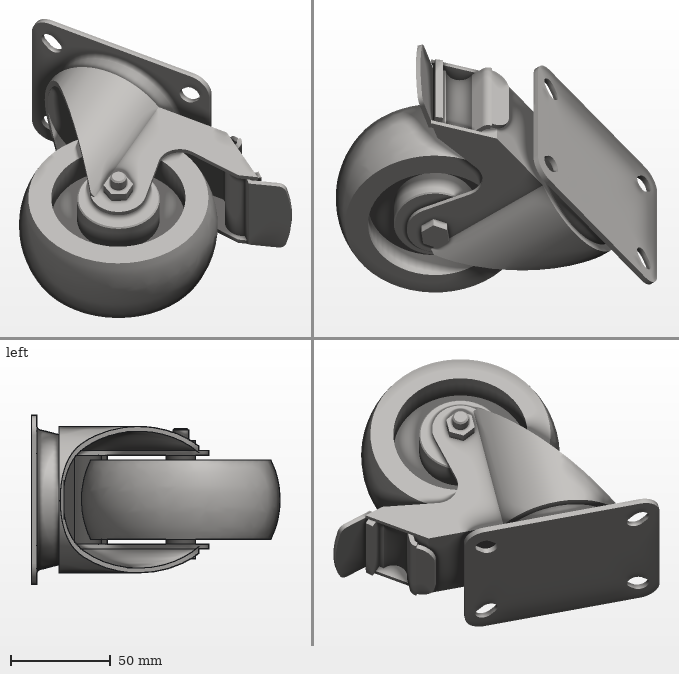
import cadquery as cq
import math


overall_length = 161.0

plate_length = 100.0
plate_width = 85.0
plate_thickness = 2.7
plate_corner_radius = 10.0
slot_spacing_x = 78.0
slot_spacing_z = 57.6
slot_diameter = 9.0
slot_travel = 3.4
slot_angle = 45

head_top_radius = 35.0
head_bottom_radius = 32.8
head_fillet_radius = 2.4
head_bottom_depth = 13.2

fork_top = 13.8
sheet = 2.4
fork_diameter = 73.5
leg_gap = 44.6
leg_end_radius = 14.2
shoulder_x = 65.7
tip_top = (93.7, -34.3)
tip_bottom = (84.2, -37.5)
notch_radius = 11.0
notch_center = (55.0, -44.6)
notch_mid_angle = 140
cup_start_depth = 14.5
cup_bend = (-22.9, -26.2)

axle_x = 35.9
axle_y = -75.0
wheel_radius = 49.9
wheel_width = 40.0
wheel_side_radius = 45.2
recess_diameter = 67.5
recess_depth = 15.5
hub_diameter = 41.5
hub_chamfer = 0.6
spacer_diameter = 15.0

nut_corners = 15.0
nut_height = 5.0
bolt_diameter = 8.0
bolt_end = 35.7
bolt_chamfer = 0.8

flap_angle = 153
flap_length = 9.5
flap_half_width = 20.6
flap_corner_radius = 9.3
flap_bend_radius = 2.1
lever_wall_x = 72.5
lever_wall_top = -16.1
lever_arc_center = (81.3, -25.6)
lever_arc_radius = 9.5
lever_arc_end = -60
pedal_corner = (90.6, -38.2)
pedal_angle = 19.5
pedal_bulge = 3.7
pedal_corner_radius = 4.5
tab_top = (92.7, -30.0)
tab_angle = -43
tab_width = 4.0
tab_height = 6.8

axle = (axle_x, axle_y)
fork_radius = fork_diameter / 2
leg_inner = leg_gap / 2
leg_outer = leg_inner + sheet
pedal_reach = overall_length - plate_length / 2 - pedal_corner[0]
pedal_length = pedal_reach / math.cos(math.radians(pedal_angle))


def circle_tangent(point, center, radius, side):
    """Point where the line from `point` touches a circle, on the left (1) or right (-1)."""
    dx = point[0] - center[0]
    dy = point[1] - center[1]
    angle = math.atan2(dy, dx) - side * math.acos(radius / math.hypot(dx, dy))
    return polar(center, radius, angle)


def polar(center, radius, angle):
    """Point at `radius` from `center` in the direction `angle`, in radians."""
    return (center[0] + radius * math.cos(angle), center[1] + radius * math.sin(angle))


def cylinder_z(diameter, half_length):
    """Cylinder on the wheel axle, centred on Z = 0."""
    return cq.Workplane("XY").center(*axle).circle(diameter / 2).extrude(half_length, both=True)


def middle_slab(half_width):
    """Slab around Z = 0 that is wider than the whole part in X and Y."""
    return cq.Workplane("XY").box(2 * overall_length, 2 * overall_length, 2 * half_width)


def mounting_plate():
    plate = cq.Workplane("XZ").rect(plate_length, plate_width).extrude(plate_thickness)
    plate = plate.edges("|Y").fillet(plate_corner_radius)
    for side_x in (-1, 1):
        for side_z in (-1, 1):
            slot = (
                cq.Workplane("XZ")
                .center(side_x * slot_spacing_x / 2, side_z * slot_spacing_z / 2)
                .transformed(rotate=(0, 0, slot_angle * side_x * side_z))
                .slot2D(slot_diameter + slot_travel, slot_diameter)
                .extrude(plate_thickness)
            )
            plate = plate.cut(slot)
    return plate


def swivel_head():
    fillet_center = (head_top_radius + head_fillet_radius, -plate_thickness - head_fillet_radius)
    return (
        cq.Workplane("XY")
        .moveTo(0, -plate_thickness)
        .lineTo(fillet_center[0], -plate_thickness)
        .threePointArc(
            polar(fillet_center, head_fillet_radius, math.radians(135)),
            (head_top_radius, fillet_center[1]),
        )
        .lineTo(head_bottom_radius, -head_bottom_depth)
        .lineTo(head_bottom_radius, -fork_top)
        .lineTo(0, -fork_top)
        .close()
        .revolve(360, (0, 0, 0), (0, 1, 0))
    )


def cup_side():
    """Solid block whose lower edge trims the cup: an arc, then a line touching the leg end."""
    cup_touch = circle_tangent(cup_bend, axle, leg_end_radius, -1)
    wall_end_x = math.sqrt(fork_radius**2 - leg_outer**2)
    return (
        cq.Workplane("XY")
        .moveTo(wall_end_x, -fork_top)
        .lineTo(wall_end_x, cup_touch[1])
        .lineTo(*cup_touch)
        .lineTo(*cup_bend)
        .tangentArcPoint((-fork_radius, -cup_start_depth), relative=False)
        .lineTo(-fork_radius, -fork_top)
        .close()
        .extrude(fork_radius, both=True)
    )


def fork_cup():
    """Half-round wall under a round crown, cleared between the legs for the wheel."""
    cup_depth = leg_end_radius - axle_y - fork_top
    wheel_space = (
        cq.Workplane("XY")
        .rect(fork_radius, -cup_depth, centered=False)
        .extrude(leg_inner, both=True)
        .translate((0, -fork_top, 0))
    )
    base = cq.Workplane("XZ", origin=(0, -fork_top, 0))
    crown = base.circle(fork_radius).extrude(sheet)
    tube = base.circle(fork_radius).circle(fork_radius - sheet).extrude(cup_depth)
    return crown.union(tube.cut(wheel_space)).intersect(cup_side())


def fork_legs():
    span_x = axle_x - notch_center[0]
    span_y = axle_y - notch_center[1]
    cross_angle = math.acos((notch_radius + leg_end_radius) / math.hypot(span_x, span_y))
    tangent = math.atan2(span_y, span_x) - cross_angle
    notch_touch = polar(notch_center, notch_radius, tangent)
    leg_touch = polar(axle, leg_end_radius, tangent + math.pi)
    notch_top = circle_tangent(tip_bottom, notch_center, notch_radius, -1)
    notch_mid = polar(notch_center, notch_radius, math.radians(notch_mid_angle))
    leg_bottom = (axle_x, axle_y - leg_end_radius)
    leg_left = axle_x - leg_end_radius
    outline = (
        cq.Workplane("XY")
        .moveTo(leg_left, -fork_top)
        .lineTo(shoulder_x, -fork_top)
        .lineTo(*tip_top)
        .lineTo(*tip_bottom)
        .lineTo(*notch_top)
        .threePointArc(notch_mid, notch_touch)
        .lineTo(*leg_touch)
        .threePointArc(leg_bottom, (leg_left, axle_y))
        .close()
    )
    return outline.extrude(leg_outer, both=True).cut(middle_slab(leg_inner))


def crown_arm():
    """Crown sheet between the legs, bent down along their sloped edges as far as the lever."""
    slope = (tip_top[1] + fork_top) / (tip_top[0] - shoulder_x)
    slope_drop = sheet * math.hypot(1, slope)
    apron_end_y = -fork_top + slope * (lever_wall_x - shoulder_x)
    inner_bend_x = shoulder_x + (slope_drop - sheet) / slope
    return (
        cq.Workplane("XY")
        .moveTo(0, -fork_top)
        .lineTo(shoulder_x, -fork_top)
        .lineTo(lever_wall_x, apron_end_y)
        .lineTo(lever_wall_x, apron_end_y - slope_drop)
        .lineTo(inner_bend_x, -fork_top - sheet)
        .lineTo(0, -fork_top - sheet)
        .close()
        .extrude(leg_outer, both=True)
    )


def wheel():
    half = wheel_width / 2
    tyre = (
        cq.Workplane("XZ", origin=(axle_x, axle_y, 0))
        .moveTo(0, -half)
        .lineTo(wheel_side_radius, -half)
        .threePointArc((wheel_radius, 0), (wheel_side_radius, half))
        .lineTo(0, half)
        .close()
        .revolve(360, (0, 0, 0), (0, 1, 0))
    )
    web_half = half - recess_depth
    recess = cylinder_z(recess_diameter, half).cut(cylinder_z(recess_diameter, web_half))
    hub = cylinder_z(hub_diameter, half).faces("<Z or >Z").chamfer(hub_chamfer)
    return tyre.cut(recess).union(hub).union(cylinder_z(spacer_diameter, leg_inner))


def axle_bolt():
    nuts = (
        cq.Workplane("XY")
        .center(*axle)
        .transformed(rotate=(0, 0, 90))
        .polygon(6, nut_corners)
        .extrude(leg_outer + nut_height, both=True)
    )
    bolt = (
        cq.Workplane("XY")
        .center(*axle)
        .circle(bolt_diameter / 2)
        .extrude(bolt_end)
        .faces(">Z")
        .chamfer(bolt_chamfer)
    )
    return nuts.cut(middle_slab(leg_outer)).union(bolt)


def end_sheet(root, angle, length, half_width, bulge, corner_radius):
    """Sheet leaving `root` at `angle` degrees to X, with two rounded corners at its free end.

    The free edge bows out by `bulge`, or is straight if that is zero.
    """
    side = length - bulge
    outline = cq.Workplane("XZ").moveTo(0, -half_width).lineTo(side, -half_width)
    if bulge:
        outline = outline.threePointArc((length, 0), (side, half_width))
    else:
        outline = outline.lineTo(side, half_width)
    blank = outline.lineTo(0, half_width).close().extrude(-sheet)
    blank = blank.edges("|Y").edges(">X").fillet(corner_radius)
    if angle > 90:
        blank = blank.mirror("YZ")
        angle -= 180
    return blank.rotate((0, 0, 0), (0, 0, 1), angle).translate((*root, 0))


def lever_web():
    """Wall hanging between the legs, curling below into the root of the pedal."""
    arc_inner_radius = lever_arc_radius - sheet
    arc_end = math.radians(lever_arc_end)
    arc_mid = (arc_end - math.pi) / 2
    wall_offset = lever_arc_center[0] - lever_wall_x
    wall_bottom = lever_arc_center[1] + math.sqrt(lever_arc_radius**2 - wall_offset**2)
    inner_offset = wall_offset - sheet
    inner_wall_bottom = lever_arc_center[1] + math.sqrt(arc_inner_radius**2 - inner_offset**2)
    web = (
        cq.Workplane("XY")
        .moveTo(lever_wall_x, lever_wall_top)
        .lineTo(lever_wall_x, wall_bottom)
        .threePointArc(
            polar(lever_arc_center, lever_arc_radius, arc_mid),
            polar(lever_arc_center, lever_arc_radius, arc_end),
        )
        .lineTo(*pedal_corner)
        .lineTo(*polar(pedal_corner, sheet, math.radians(pedal_angle + 90)))
        .lineTo(*polar(lever_arc_center, arc_inner_radius, arc_end))
        .threePointArc(
            polar(lever_arc_center, arc_inner_radius, arc_mid),
            (lever_wall_x + sheet, inner_wall_bottom),
        )
        .lineTo(lever_wall_x + sheet, lever_wall_top)
        .close()
    )
    return web.extrude(leg_inner, both=True)


def lever_flap():
    """Upper end of the lever, bent back over the crown."""
    flap_normal = math.radians(flap_angle - 90)
    bend_center = (lever_wall_x - flap_bend_radius, lever_wall_top)
    flap_bend = polar(bend_center, flap_bend_radius, flap_normal)
    bend_mid = flap_normal / 2
    bend = (
        cq.Workplane("XY")
        .moveTo(*flap_bend)
        .threePointArc(polar(bend_center, flap_bend_radius, bend_mid), (lever_wall_x, lever_wall_top))
        .lineTo(lever_wall_x + sheet, lever_wall_top)
        .threePointArc(
            polar(bend_center, flap_bend_radius + sheet, bend_mid),
            polar(flap_bend, sheet, flap_normal),
        )
        .close()
        .extrude(leg_inner, both=True)
    )
    flap = end_sheet(flap_bend, flap_angle, flap_length, flap_half_width, 0, flap_corner_radius)
    return bend.union(flap)


def lever_pedal():
    return end_sheet(pedal_corner, pedal_angle, pedal_length, leg_inner, pedal_bulge, pedal_corner_radius)


def lever_tab():
    return (
        cq.Workplane("XY")
        .center(*tab_top)
        .transformed(rotate=(0, 0, tab_angle))
        .center(0, -tab_height / 2)
        .rect(tab_width, tab_height)
        .extrude(leg_inner, both=True)
    )


result = (
    mounting_plate()
    .union(swivel_head())
    .union(fork_cup())
    .union(fork_legs())
    .union(crown_arm())
    .union(wheel())
    .union(axle_bolt())
    .union(lever_web())
    .union(lever_flap())
    .union(lever_pedal())
    .union(lever_tab())
)